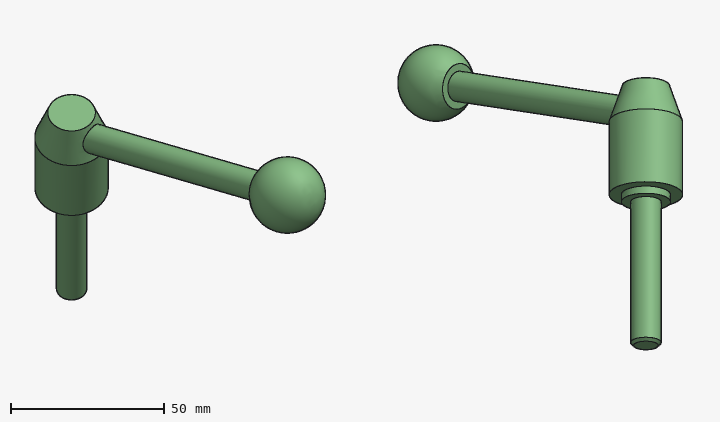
import cadquery as cq
import math

stud_diameter = 10.0
stud_length = 50.0
stud_chamfer = 1.0
collar_diameter = 16.0
collar_height = 2.5
hub_diameter = 24.0
hub_straight_height = 25.4
hub_cone_height = 12.5
hub_top_diameter = 15.5

overall_height = 125.0
ball_radius = 12.5
ball_center_x = 88.2
ball_flat_distance = 10.0
arm_diameter = 10.0
arm_angle = 20.0

hub_bottom_z = stud_length + collar_height
hub_shoulder_z = hub_bottom_z + hub_straight_height
hub_top_z = hub_shoulder_z + hub_cone_height
ball_center = cq.Vector(ball_center_x, 0, overall_height - ball_radius)
arm_direction = cq.Vector(math.cos(math.radians(arm_angle)), 0, math.sin(math.radians(arm_angle)))


def make_body():
    """Revolve the stud, collar and tapered hub as one profile."""
    stud_radius = stud_diameter / 2
    collar_radius = collar_diameter / 2
    hub_radius = hub_diameter / 2
    profile = [
        (0, 0),
        (stud_radius - stud_chamfer, 0),
        (stud_radius, stud_chamfer),
        (stud_radius, stud_length),
        (collar_radius, stud_length),
        (collar_radius, hub_bottom_z),
        (hub_radius, hub_bottom_z),
        (hub_radius, hub_shoulder_z),
        (hub_top_diameter / 2, hub_top_z),
        (0, hub_top_z),
    ]
    return cq.Workplane("XZ").polyline(profile).close().revolve(360, (0, 0), (0, 1))


def make_arm():
    """Run the arm from inside the hub cone to the ball center."""
    start_x = arm_diameter / 2
    length = (ball_center_x - start_x) / arm_direction.x
    start = ball_center - arm_direction * length
    return cq.Workplane(cq.Plane(start, (0, 1, 0), arm_direction)).circle(arm_diameter / 2).extrude(length)


def make_ball():
    """Cut the sphere flat where the arm enters it."""
    ball = cq.Workplane("XY").sphere(ball_radius).translate(ball_center)
    flat_center = ball_center - arm_direction * ball_flat_distance
    flat_plane = cq.Plane(flat_center, (0, 1, 0), arm_direction)
    cutter = cq.Workplane(flat_plane).circle(ball_radius).extrude(-ball_radius)
    return ball.cut(cutter)


result = make_body().union(make_arm()).union(make_ball())